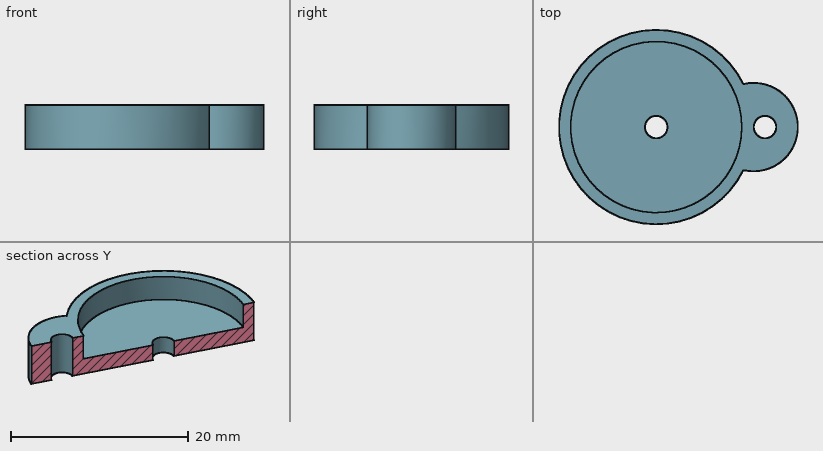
import cadquery as cq

length = 26.95
height = 5.0
cup_diameter = 21.93
pocket_diameter = 19.3
pocket_depth = 3.0
lug_diameter = 10.0
hole_diameter = 2.5
lug_hole_x = 12.25

lug_x = length - cup_diameter / 2 - lug_diameter / 2


def cylinder(diameter, cylinder_height, x=0.0, base_z=0.0):
    """Upright cylinder centred on the X axis."""
    return (
        cq.Workplane("XY", origin=(x, 0, base_z))
        .circle(diameter / 2)
        .extrude(cylinder_height)
    )


cup = cylinder(cup_diameter, height)
lug = cylinder(lug_diameter, height, x=lug_x)
body = cup.union(lug)

pocket = cylinder(pocket_diameter, pocket_depth, base_z=height - pocket_depth)
result = body.cut(pocket)

for hole_x in (0.0, lug_hole_x):
    result = result.cut(cylinder(hole_diameter, height, x=hole_x))